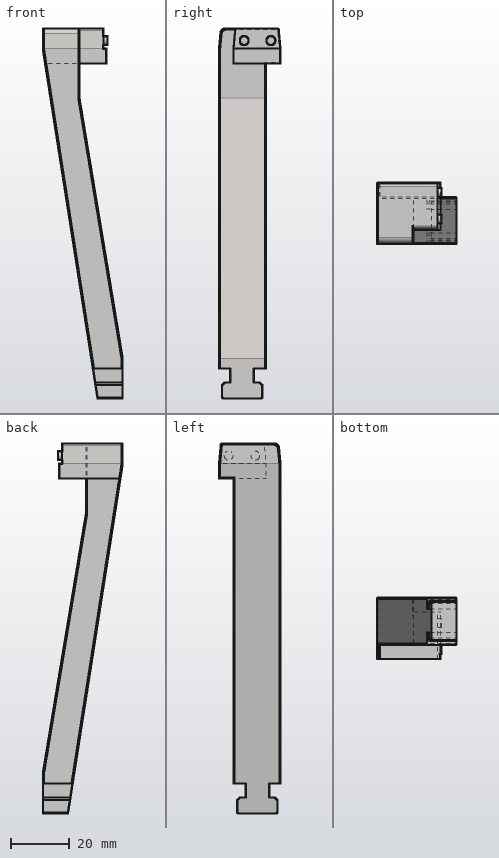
import cadquery as cq

total_height = 125.6
total_width = 27.1
head_depth = 20.8

arm_depth = 16.0
arm_top_width = 12.4
arm_bottom_z = 10.2
foot_left_x = 18.6
knee_z = 102.0
lower_knee_z = 13.6
edge_chamfer = 0.4

collar_bottom_z = 113.7
cap_bottom_z = 118.7
collar_right_x = 21.6
cap_right_x = 20.6
notch_depth = 4.9
cap_draft = 0.6
front_round = 1.9
small_round = 0.8

peg_diameter = 3.0
peg_tip_x = 22.0
peg_z = 121.5
peg_positions_y = (8.5, 17.6)

neck_front_y = 3.8
neck_back_y = 11.8
flange_front_y = 1.0
flange_back_y = 14.7
flange_height = 5.5
flange_top_chamfer = 1.0
flange_bottom_chamfer = 0.4


def extrude_front_profile(points, depth):
    """Extrude an XZ outline from the front face toward the back."""
    return cq.Workplane("XZ").polyline(points).close().extrude(-depth)


def extrude_side_profile(points, start_x, end_x):
    """Extrude a YZ outline between two X positions."""
    plane = cq.Workplane("YZ", origin=(start_x, 0, 0))
    return plane.polyline(points).close().extrude(end_x - start_x)


def slanted_left_x(z):
    """Left edge of the arm, running straight from the cap to the foot."""
    return foot_left_x * (cap_bottom_z - z) / cap_bottom_z


def arm_body(bottom_z):
    outline = [
        (0, cap_bottom_z),
        (arm_top_width, cap_bottom_z),
        (arm_top_width, knee_z),
        (total_width, lower_knee_z),
        (total_width, bottom_z),
        (slanted_left_x(bottom_z), bottom_z),
    ]
    return extrude_front_profile(outline, arm_depth)


def make_arm():
    body = arm_body(arm_bottom_z)
    long_edges = body.edges("not(|Y)").edges("not(|X)")
    return long_edges.chamfer(edge_chamfer)


def make_foot():
    neck = cq.Workplane().box(
        total_width, neck_back_y - neck_front_y, arm_bottom_z, centered=False
    ).translate((0, neck_front_y, 0))
    flange = cq.Workplane().box(
        total_width, flange_back_y - flange_front_y, flange_height, centered=False
    ).translate((0, flange_front_y, 0))
    flange = flange.edges("|X and >Z").chamfer(flange_top_chamfer)
    flange = flange.edges("|X and <Z").chamfer(flange_bottom_chamfer)
    return neck.union(flange).intersect(arm_body(0))


def make_collar():
    outline = [
        (0, cap_bottom_z),
        (collar_right_x, cap_bottom_z),
        (collar_right_x, collar_bottom_z),
        (slanted_left_x(collar_bottom_z), collar_bottom_z),
    ]
    collar = extrude_front_profile(outline, head_depth)
    left_edges = collar.faces("<X").edges("not(|Y)")
    collar = left_edges.chamfer(edge_chamfer)
    collar = collar.faces("<Z").edges("<X").chamfer(edge_chamfer)
    notch = cq.Workplane().box(
        total_width, notch_depth, total_height, centered=False
    ).translate((arm_top_width, 0, 0))
    return collar.cut(notch).edges("|Z and <Y").edges(">X").chamfer(edge_chamfer)


def cap_block(front_y, start_x, end_x, top_front_round):
    """Cap section with drafted front and back faces and rounded top edges."""
    outline = [
        (front_y, cap_bottom_z),
        (head_depth, cap_bottom_z),
        (head_depth - cap_draft, total_height),
        (front_y + cap_draft, total_height),
    ]
    block = extrude_side_profile(outline, start_x, end_x)
    block = block.faces(">Z").edges("|X and <Y").fillet(top_front_round)
    return block.faces(">Z").edges("|X and >Y").fillet(small_round)


def make_cap():
    left = cap_block(0, 0, arm_top_width, front_round)
    left = left.faces("<X or >X").edges("not(<Z)").chamfer(edge_chamfer)
    right = cap_block(notch_depth, arm_top_width - 2 * edge_chamfer, cap_right_x, small_round)
    return left.union(right)


def make_peg(y):
    plane = cq.Workplane("YZ", origin=(arm_top_width, y, peg_z))
    return plane.circle(peg_diameter / 2).extrude(peg_tip_x - arm_top_width)


result = make_arm().union(make_foot()).union(make_collar()).union(make_cap())
for peg_y in peg_positions_y:
    result = result.union(make_peg(peg_y))